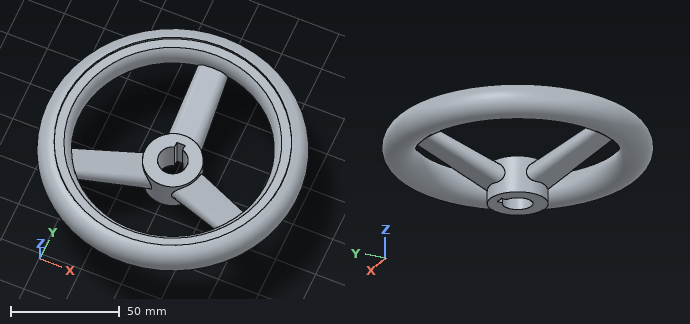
import cadquery as cq
import math

wheel_diameter = 125.0
rim_bar_diameter = 16.0
step_inner_radius = 50.0
overall_height = 36.0

hub_diameter = 28.0
hub_height = 18.0
bore_diameter = 14.0
key_width = 4.0
key_top_from_axis = 9.3

spoke_count = 3
first_spoke_angle = 90.0
spoke_flat_width = 8.8
spoke_hub_thickness = 9.0
spoke_rim_thickness = 6.0
spoke_start_radius = 10.0
spoke_start_height = 9.85

wheel_radius = wheel_diameter / 2
rim_bar_radius = rim_bar_diameter / 2
rim_centre_radius = wheel_radius - rim_bar_radius
rim_centre_height = overall_height - rim_bar_radius
hub_radius = hub_diameter / 2
bore_radius = bore_diameter / 2


def make_rim():
    """Revolve the bar section, whose top inner part ends in a flat annular step."""
    step_offset = rim_centre_radius - step_inner_radius
    step_rise = math.sqrt(rim_bar_radius**2 - step_offset**2)
    step_height = rim_centre_height + step_rise
    section = (
        cq.Workplane("YZ")
        .moveTo(rim_centre_radius, step_height)
        .lineTo(rim_centre_radius, overall_height)
        .radiusArc((wheel_radius, rim_centre_height), rim_bar_radius)
        .threePointArc(
            (rim_centre_radius, rim_centre_height - rim_bar_radius),
            (rim_centre_radius - rim_bar_radius, rim_centre_height),
        )
        .radiusArc((step_inner_radius, step_height), rim_bar_radius)
        .close()
    )
    return section.revolve(360, (0, 0, 0), (0, 1, 0))


def make_hub():
    """Solid hub cylinder standing on the base plane."""
    return cq.Workplane("XY").circle(hub_radius).extrude(hub_height)


def make_spoke():
    """Loft one spoke along +X, rising from inside the hub to the centre of the rim bar."""
    run = rim_centre_radius - spoke_start_radius
    rise = rim_centre_height - spoke_start_height
    length = math.hypot(run, rise)
    start_plane = cq.Plane(
        origin=(spoke_start_radius, 0, spoke_start_height),
        xDir=(0, 1, 0),
        normal=(run, 0, rise),
    )
    return (
        cq.Workplane(start_plane)
        .slot2D(spoke_flat_width + spoke_hub_thickness, spoke_hub_thickness)
        .workplane(offset=length)
        .slot2D(spoke_flat_width + spoke_rim_thickness, spoke_rim_thickness)
        .loft(ruled=True)
    )


def make_bore():
    """Bore and keyway, both running through the full hub height."""
    bore = cq.Workplane("XY").circle(bore_radius).extrude(hub_height)
    keyway = (
        cq.Workplane("XY")
        .center(0, key_top_from_axis / 2)
        .rect(key_width, key_top_from_axis)
        .extrude(hub_height)
    )
    return bore.union(keyway)


body = make_rim().union(make_hub())
for index in range(spoke_count):
    angle = first_spoke_angle + index * 360 / spoke_count
    body = body.union(make_spoke().rotate((0, 0, 0), (0, 0, 1), angle))

result = body.cut(make_bore())